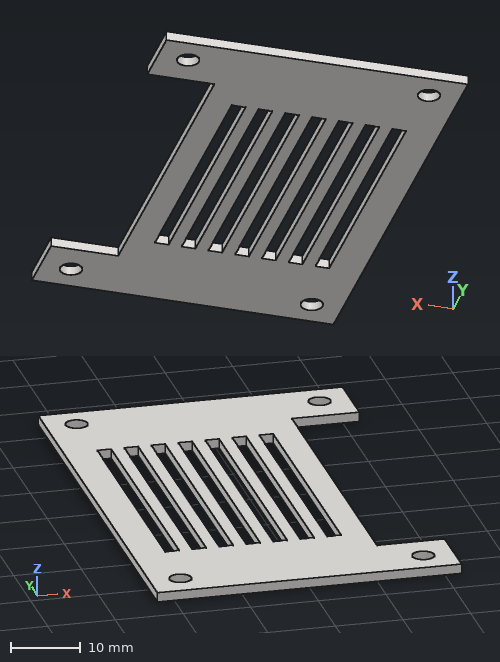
import cadquery as cq

plate_width = 45.0
plate_length = 70.0
plate_thickness = 1.5

tab_size = 10.0

slot_count = 7
slot_width = 2.0
slot_pitch = 4.0
slot_length = 40.0
first_slot_edge = 5.0

hole_diameter = 3.2
hole_inset = 4.55


def make_plate():
    """Rectangular plate with the notch cut from its +X edge."""
    notch_x = plate_width - tab_size
    notch_length = plate_length - 2 * tab_size
    plate = cq.Workplane("XY").box(plate_width, plate_length, plate_thickness, centered=False)
    notch = (
        cq.Workplane("XY")
        .box(tab_size, notch_length, plate_thickness, centered=False)
        .translate((notch_x, tab_size, 0))
    )
    return plate.cut(notch)


def make_slots():
    """Cutters for the row of evenly spaced vent slots."""
    first_slot_x = first_slot_edge + slot_width / 2
    centers = [(first_slot_x + i * slot_pitch, plate_length / 2) for i in range(slot_count)]
    return cq.Workplane("XY").pushPoints(centers).rect(slot_width, slot_length).extrude(plate_thickness)


def make_holes():
    """Cutters for the four mounting holes."""
    centers = [
        (x, y)
        for x in (hole_inset, plate_width - hole_inset)
        for y in (hole_inset, plate_length - hole_inset)
    ]
    return cq.Workplane("XY").pushPoints(centers).circle(hole_diameter / 2).extrude(plate_thickness)


result = make_plate().cut(make_slots()).cut(make_holes())